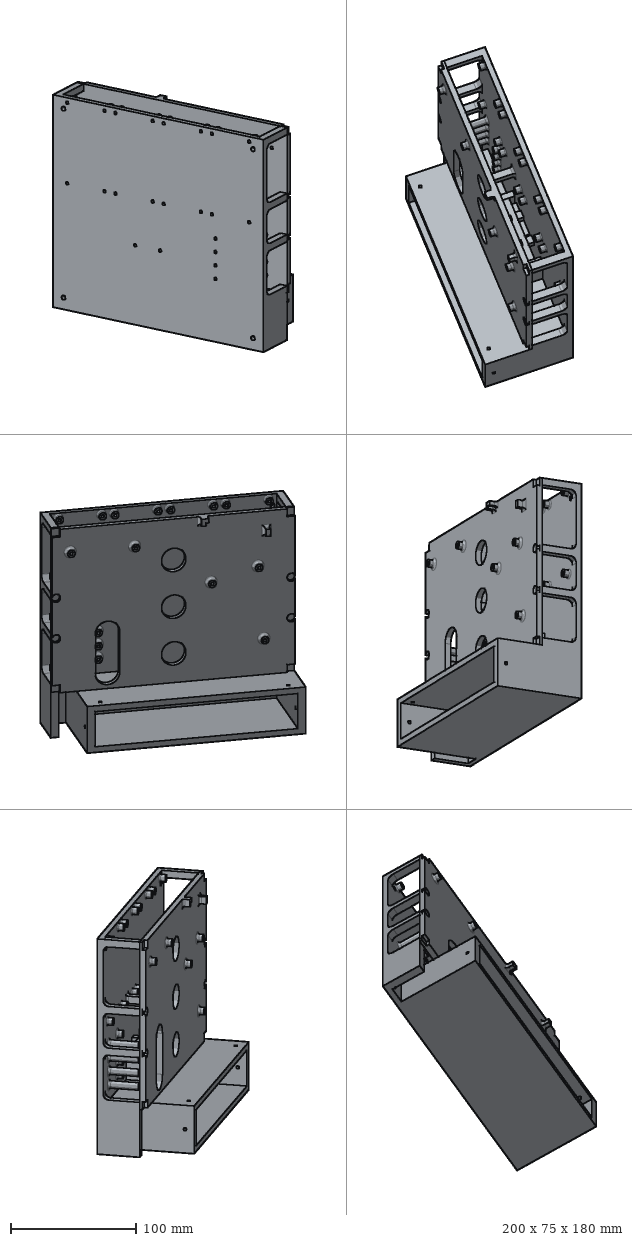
import cadquery as cq

LENGTH = 200.0
HEIGHT = 180.0
BASE_DEPTH = 75.0
BASE_HEIGHT = 40.0
BASE_LENGTH = 180.0
PLATE = 5.0
WALL = 6.5
RIB = 6.0
LID_BACK = 40.0
LID_FRONT = LID_BACK - PLATE

WINDOW_CORNER = 5.0
RIB_BOTTOMS = [BASE_HEIGHT, 83.5, 118.2, HEIGHT - RIB]

SCREW_HOLE = 2.5
MOUNT_HOLE = 3.5
MOUNT_INSET = 10.0
BOSS = 6.0
BOSS_HEIGHT = 5.0
BOSS_TOP = PLATE + BOSS_HEIGHT
SMALL_FILLET = 1.0
ROOT_FILLET = 2.0

MODULES = 4
MODULE_PITCH = 45.8
MODULE_WIDTH = 35.5
MODULE_ROWS = [107.5, 175.8]

COLUMN_X = 154.5
PIN_X = 181.5
COLUMN_BOTTOM = 53.5
COLUMN_PITCH = 11.5
COLUMN_COUNT = 4
PIN_TOP = 30.0
COLUMN_ZS = [COLUMN_BOTTOM + i * COLUMN_PITCH for i in range(COLUMN_COUNT)]

POST = 6.0
POST_X, POST_Z = 121.8, 107.2

BAR_LEFT, BAR_RIGHT = 60.8, 118.8
BAR_TOP_Z = 69.5
BAR_BACK = 16.5
STUB_WALL = 5.0
BLOCK_LEFT, BLOCK_RIGHT = 85.5, 115.5
PAD = 6.5
BAR_HOLE_XS = [78.2, 101.8]
BAR_HOLE_Z = 67.5
NUT_WIDTH = 4.8
NUT_DEPTH = 2.2

SEAT = 6.8
SEAT_DEPTH = 2.8
SEAT_INSET = 3.2

COVER_HOLE_Y = 67.5
COVER_HOLE_INSET = 12.5
COVER_HOLE_XS = [COVER_HOLE_INSET, BASE_LENGTH - COVER_HOLE_INSET]

LID_BOSSES = [(132.5, 160.0), (185.5, 160.0), (30.8, 133.5), (69.5, 123.5), (26.0, 71.2)]
STOP_HEIGHT = 6.0
STOP_WIDTH = 3.5
STOP_LENGTH = 6.0
SIDE_STOP_X, SIDE_STOP_Z = 21.8, 160.5
TOP_STOP_X = 72.5
CABLE_HOLE = 20.0
CABLE_X = 100.0
CABLE_ZS = [145.0, 105.0, 65.0]


def box(x0, x1, y0, y1, z0, z1):
    """Block between two opposite corners."""
    return cq.Workplane("XY").box(x1 - x0, y1 - y0, z1 - z0, centered=False).translate((x0, y0, z0))


def rod(x, z, diameter, y0, y1):
    """Cylinder along +Y."""
    return cq.Workplane("XZ", origin=(x, y0, z)).circle(diameter / 2).extrude(y0 - y1)


def add_filleted(body, feature, root_y, fillet):
    """Join a feature standing on the plane y = root_y and round the joint."""
    bounds = feature.val().BoundingBox()
    margin = 0.2
    joint = cq.selectors.BoxSelector(
        (bounds.xmin - margin, root_y - margin, bounds.zmin - margin),
        (bounds.xmax + margin, root_y + margin, bounds.zmax + margin),
        boundingbox=True,
    )
    return body.union(feature).edges(joint).fillet(fillet)


def tray_shell():
    panel = box(0, LENGTH, 0, PLATE, 0, HEIGHT)
    left_wall = box(0, WALL, 0, LID_FRONT, 0, HEIGHT)
    right_wall = box(LENGTH - WALL, LENGTH, 0, LID_FRONT, 0, HEIGHT)
    base = box(0, BASE_LENGTH, 0, BASE_DEPTH, 0, BASE_HEIGHT)
    cavity = box(WALL, BASE_LENGTH - WALL, PLATE, BASE_DEPTH, PLATE, BASE_HEIGHT - PLATE)
    return panel.union(left_wall).union(right_wall).union(base).cut(cavity)


def cut_windows(body):
    """Side windows between neighbouring ribs, open towards the lid."""
    for lower, upper in zip(RIB_BOTTOMS, RIB_BOTTOMS[1:]):
        window = box(0, LENGTH, PLATE, LID_FRONT, lower + RIB, upper)
        window = window.edges("|X and <Y").fillet(WINDOW_CORNER)
        for x0 in (0, LENGTH - WALL):
            body = body.cut(window.intersect(box(x0, x0 + WALL, 0, BASE_DEPTH, 0, HEIGHT)))
    return body


def module_points():
    first_centre = LENGTH / 2 - MODULE_PITCH * (MODULES - 1) / 2
    return [
        (first_centre + i * MODULE_PITCH + side * MODULE_WIDTH / 2, z)
        for i in range(MODULES)
        for side in (-1, 1)
        for z in MODULE_ROWS
    ]


def add_bosses(body):
    for x, z in module_points():
        body = add_filleted(body, rod(x, z, BOSS, PLATE, BOSS_TOP), PLATE, SMALL_FILLET)
    for z in COLUMN_ZS:
        body = add_filleted(body, rod(COLUMN_X, z, BOSS, PLATE, BOSS_TOP), PLATE, ROOT_FILLET)
        body = add_filleted(body, rod(PIN_X, z, BOSS, PLATE, PIN_TOP), PLATE, ROOT_FILLET)
    return body


def add_post(body):
    half = POST / 2
    post = box(POST_X - half, POST_X + half, PLATE, LID_FRONT, POST_Z - half, POST_Z + half)
    return add_filleted(body, post, PLATE, ROOT_FILLET)


def add_bar_seat(body):
    """Stub walls at both ends of the bar, and the block and pads it rests on."""
    pad_bottom = BAR_HOLE_Z - PAD / 2
    for x0 in (BAR_LEFT - STUB_WALL, BAR_RIGHT):
        body = body.union(box(x0, x0 + STUB_WALL, PLATE, BAR_BACK, BASE_HEIGHT, BAR_TOP_Z))
    body = body.union(box(BLOCK_LEFT, BLOCK_RIGHT, PLATE, BOSS_TOP, BASE_HEIGHT, pad_bottom))
    for x in BAR_HOLE_XS:
        body = body.union(box(x - PAD / 2, x + PAD / 2, PLATE, BOSS_TOP, pad_bottom, BAR_TOP_Z))
    return body


def drill_tray(body):
    screw_points = module_points()
    screw_points += [(COLUMN_X, z) for z in COLUMN_ZS]
    screw_points += [(x, BAR_HOLE_Z) for x in BAR_HOLE_XS]
    for x, z in screw_points:
        body = body.cut(rod(x, z, SCREW_HOLE, 0, BOSS_TOP))
    for x in (MOUNT_INSET, LENGTH - MOUNT_INSET):
        for z in (MOUNT_INSET, HEIGHT - MOUNT_INSET):
            body = body.cut(rod(x, z, MOUNT_HOLE, 0, PLATE))
    for x in COVER_HOLE_XS:
        shelf_hole = cq.Workplane("XY", origin=(x, COVER_HOLE_Y, BASE_HEIGHT - PLATE))
        body = body.cut(shelf_hole.circle(SCREW_HOLE / 2).extrude(PLATE))
    side_hole = cq.Workplane("YZ", origin=(0, COVER_HOLE_Y, BASE_HEIGHT / 2))
    return body.cut(side_hole.circle(SCREW_HOLE / 2).extrude(BASE_LENGTH))


def make_tray():
    body = cut_windows(tray_shell())
    body = add_bosses(body)
    body = add_post(body)
    body = add_bar_seat(body)
    return drill_tray(body)


def make_cover_bar():
    bar = box(BAR_LEFT, BAR_RIGHT, BOSS_TOP, BAR_BACK, BASE_HEIGHT, BAR_TOP_Z)
    for x in BAR_HOLE_XS:
        bar = bar.cut(rod(x, BAR_HOLE_Z, SCREW_HOLE, BOSS_TOP, BAR_BACK))
        half = NUT_WIDTH / 2
        nut_slot = box(x - half, x + half, BAR_BACK - NUT_DEPTH, BAR_BACK, BAR_HOLE_Z - half, BAR_TOP_Z)
        bar = bar.cut(nut_slot)
    return bar


def cut_corner_seats(lid):
    """Square screw seats in the four corners."""
    side = SEAT_INSET + SEAT / 2
    y0 = LID_BACK - SEAT_DEPTH
    for x0 in (0, LENGTH - side):
        for z0 in (BASE_HEIGHT, HEIGHT - side):
            lid = lid.cut(box(x0, x0 + side, y0, LID_BACK, z0, z0 + side))
    return lid


def cut_rib_seats(lid):
    """Round screw seats over the middle ribs, breaking out through the lid's sides."""
    for rib_bottom in RIB_BOTTOMS[1:-1]:
        for x in (SEAT_INSET, LENGTH - SEAT_INSET):
            lid = lid.cut(rod(x, rib_bottom + RIB / 2, SEAT, LID_BACK - SEAT_DEPTH, LID_BACK))
    return lid


def add_lid_bosses(lid):
    for x, z in LID_BOSSES:
        boss = rod(x, z, BOSS, LID_BACK, LID_BACK + BOSS_HEIGHT)
        lid = add_filleted(lid, boss, LID_BACK, ROOT_FILLET)
    for x, z in LID_BOSSES:
        lid = lid.cut(rod(x, z, SCREW_HOLE, LID_FRONT, LID_BACK + BOSS_HEIGHT))
    return lid


def add_board_stops(lid):
    """Raised stops: one upright, and an L-shaped one at the top edge."""
    top = LID_BACK + STOP_HEIGHT
    side_stop = box(
        SIDE_STOP_X, SIDE_STOP_X + STOP_WIDTH, LID_BACK, top, SIDE_STOP_Z, SIDE_STOP_Z + STOP_LENGTH
    )
    lid = add_filleted(lid, side_stop, LID_BACK, ROOT_FILLET)
    right = TOP_STOP_X + STOP_LENGTH
    top_stop = box(TOP_STOP_X, right, LID_BACK, top, HEIGHT - STOP_WIDTH, HEIGHT)
    top_stop = top_stop.union(box(right - STOP_WIDTH, right, LID_BACK, top, HEIGHT - STOP_LENGTH, HEIGHT))
    return add_filleted(lid, top_stop, LID_BACK, ROOT_FILLET)


def cut_cable_openings(lid):
    for z in CABLE_ZS:
        lid = lid.cut(rod(CABLE_X, z, CABLE_HOLE, LID_FRONT, LID_BACK))
    slot_length = COLUMN_ZS[-1] - COLUMN_ZS[0] + CABLE_HOLE
    slot_z = (COLUMN_ZS[0] + COLUMN_ZS[-1]) / 2
    slot = cq.Workplane("XZ", origin=(COLUMN_X, LID_FRONT, slot_z))
    return lid.cut(slot.slot2D(slot_length, CABLE_HOLE, 90).extrude(-PLATE))


def make_lid():
    lid = box(0, LENGTH, LID_FRONT, LID_BACK, BASE_HEIGHT, HEIGHT)
    lid = cut_corner_seats(lid)
    lid = cut_rib_seats(lid)
    lid = add_board_stops(lid)
    lid = add_lid_bosses(lid)
    return cut_cable_openings(lid)


tray = make_tray()
cover_bar = make_cover_bar()
lid = make_lid()
result = cq.Compound.makeCompound([tray.val(), cover_bar.val(), lid.val()])